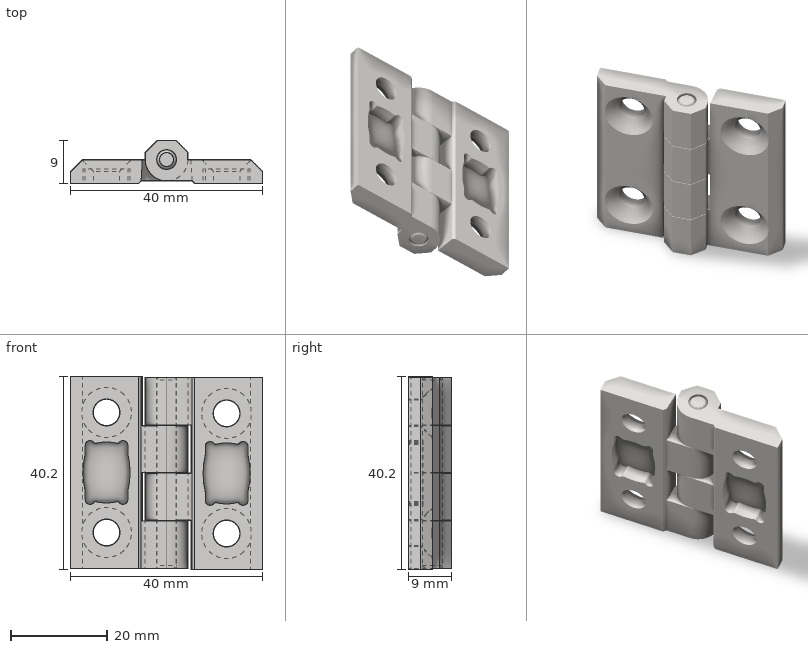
import cadquery as cq


half_width = 20.0
leaf_height = 40.0
leaf_thickness = 5.0
leaf_shift = 0.1
edge_chamfer = 2.5
inner_edge_top = 5.05
inner_edge_bottom = 5.3

knuckle_radius = 4.45
knuckle_rise = 4.0
knuckle_chamfer = 2.5
knuckle_pitch = 10.0
knuckle_gap = 0.1
foot_chamfer = leaf_thickness - knuckle_radius

pin_radius = 2.05
pin_chamfer = 0.6

hole_x = 12.5
hole_spacing = 25.0
hole_diameter = 5.5
countersink_diameter = 10.4
countersink_angle = 90.0

pocket_depth = 3.0
pocket_half_width = 4.9
pocket_half_height = 6.35
lobe_half_width = 4.43
lobe_half_height = 6.63
lobe_radius = 1.0
bow_start = 3.9
notch_blend = 0.5

leaf_bottom = -leaf_height / 2 - leaf_shift
leaf_top = leaf_bottom + leaf_height
knuckle_spans = [
    (knuckle_pitch - knuckle_gap / 2, leaf_top),
    (-knuckle_pitch + 1.5 * knuckle_gap, -knuckle_gap / 2),
]


def plate():
    return (
        cq.Workplane("XY")
        .workplane(offset=leaf_bottom)
        .moveTo(inner_edge_top, 0)
        .lineTo(half_width - edge_chamfer, 0)
        .lineTo(half_width, -edge_chamfer)
        .lineTo(half_width, -leaf_thickness)
        .lineTo(inner_edge_bottom + foot_chamfer, -leaf_thickness)
        .lineTo(inner_edge_bottom, -knuckle_radius)
        .close()
        .extrude(leaf_height)
    )


def knuckle(bottom, top):
    """One knuckle: bevelled crown, round lower corner and an arm reaching the plate."""
    return (
        cq.Workplane("XY")
        .workplane(offset=bottom)
        .moveTo(inner_edge_bottom, 0)
        .lineTo(knuckle_radius, 0)
        .lineTo(knuckle_radius, knuckle_rise - knuckle_chamfer)
        .lineTo(knuckle_radius - knuckle_chamfer, knuckle_rise)
        .lineTo(knuckle_chamfer - knuckle_radius, knuckle_rise)
        .lineTo(-knuckle_radius, knuckle_rise - knuckle_chamfer)
        .lineTo(-knuckle_radius, 0)
        .radiusArc((0, -knuckle_radius), -knuckle_radius)
        .lineTo(inner_edge_bottom, -knuckle_radius)
        .close()
        .extrude(top - bottom)
    )


def cut_screw_holes(leaf):
    """Holes countersunk from the outer face."""
    offset = hole_spacing / 2
    return (
        leaf.copyWorkplane(cq.Workplane("ZX", origin=(hole_x, 0, -leaf_shift)))
        .pushPoints([(offset, 0), (-offset, 0)])
        .cskHole(hole_diameter, countersink_diameter, countersink_angle)
    )


def pocket():
    """Barrel-shaped pocket with a round lobe at each corner, blended where lobe meets end."""
    lobe_x = lobe_half_width - lobe_radius
    lobe_z = lobe_half_height - lobe_radius
    floor = cq.Workplane("XZ", origin=(hole_x, pocket_depth - leaf_thickness, -leaf_shift))
    body = (
        floor.moveTo(lobe_half_width, -bow_start)
        .threePointArc((pocket_half_width, 0), (lobe_half_width, bow_start))
        .lineTo(lobe_half_width, lobe_z)
        .lineTo(lobe_x, lobe_z)
        .threePointArc((0, pocket_half_height), (-lobe_x, lobe_z))
        .lineTo(-lobe_half_width, lobe_z)
        .lineTo(-lobe_half_width, bow_start)
        .threePointArc((-pocket_half_width, 0), (-lobe_half_width, -bow_start))
        .lineTo(-lobe_half_width, -lobe_z)
        .lineTo(-lobe_x, -lobe_z)
        .threePointArc((0, -pocket_half_height), (lobe_x, -lobe_z))
        .lineTo(lobe_half_width, -lobe_z)
        .close()
        .extrude(pocket_depth)
    )
    for side in (-1, 1):
        for end in (-1, 1):
            lobe = floor.center(side * lobe_x, end * lobe_z).circle(lobe_radius)
            body = body.union(lobe.extrude(pocket_depth))
    notch_zone = cq.selectors.BoxSelector(
        (hole_x - lobe_x + lobe_radius / 2, -leaf_thickness, leaf_bottom),
        (hole_x + lobe_x - lobe_radius / 2, 0, leaf_top),
    )
    return body.edges("|Y").edges(notch_zone).fillet(notch_blend)


def leaf():
    """The +X leaf: plate, two knuckles, screw holes, pocket and pin bore."""
    body = plate()
    for bottom, top in knuckle_spans:
        body = body.union(knuckle(bottom, top))
    body = cut_screw_holes(body)
    body = body.cut(pocket())
    bore = cq.Workplane("XY").circle(pin_radius).extrude(leaf_height, both=True)
    return body.cut(bore)


def hinge_pin():
    """Pin with bevelled ends, flush with the outermost knuckles."""
    return (
        cq.Workplane("XY")
        .circle(pin_radius)
        .extrude(leaf_top, both=True)
        .faces("|Z")
        .chamfer(pin_chamfer)
    )


right_leaf = leaf()
left_leaf = leaf().rotate((0, 0, 0), (0, 1, 0), 180)
pin = hinge_pin()

result = cq.Compound.makeCompound([right_leaf.val(), left_leaf.val(), pin.val()])